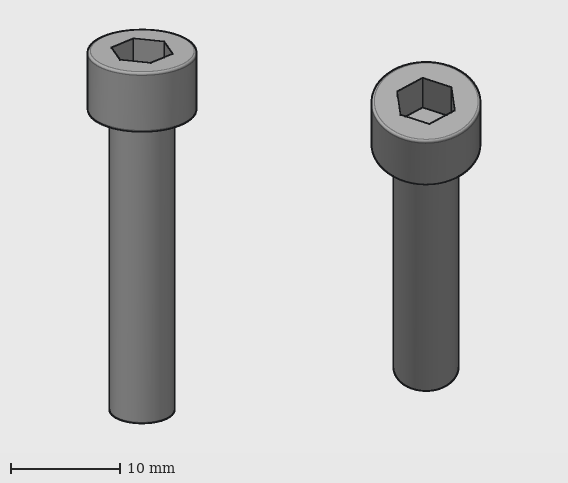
import cadquery as cq
import math

total_length = 36.0
head_diameter = 10.0
head_height = 6.0
shank_diameter = 6.0
shank_length = total_length - head_height

head_round = 0.25
tip_round = 0.2

socket_across_flats = 5.0
socket_across_corners = socket_across_flats / math.cos(math.pi / 6)
socket_depth = 4.0


def make_head():
    """Cylindrical head with rounded upper and lower rims."""
    head = (
        cq.Workplane("XY")
        .workplane(offset=shank_length)
        .circle(head_diameter / 2)
        .extrude(head_height)
    )
    head = head.faces(">Z").edges().fillet(head_round)
    return head.faces("<Z").edges().fillet(head_round)


def make_shank():
    """Plain shank with a rounded tip edge."""
    shank = cq.Workplane("XY").circle(shank_diameter / 2).extrude(shank_length)
    return shank.faces("<Z").edges().fillet(tip_round)


def make_socket():
    """Hexagonal drive recess with two corners on the X axis."""
    return (
        cq.Workplane("XY")
        .workplane(offset=total_length - socket_depth)
        .polygon(6, socket_across_corners)
        .extrude(socket_depth)
    )


result = make_head().union(make_shank()).cut(make_socket())